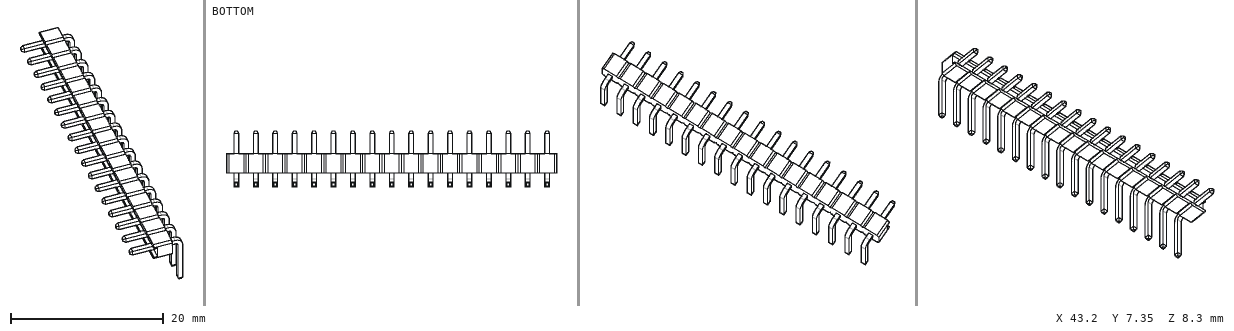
import cadquery as cq
import math

pin_count = 17
length = 43.2
overall_depth = 7.35
overall_height = 8.3
pitch = length / pin_count

housing_height = 2.55
housing_depth = 2.55
notch = 0.3
groove_height = 1.5
groove_depth = 0.47

pin_width = 0.65
pin_reach = 3.0
pin_back = overall_depth - pin_reach
tail_drop = overall_height - housing_height / 2
bend_outer_radius = 1.1
tip_length = 0.35
tip_inset = 0.15

half_pin = pin_width / 2
half_height = housing_height / 2


def repeat_along_row(body):
    """One copy of body at every pin position, joined together."""
    row = cq.Workplane("XY")
    for index in range(pin_count):
        pin_x = (index - (pin_count - 1) / 2) * pitch
        row = row.add(body.translate((pin_x, 0, 0)))
    return row.combine()


def make_housing():
    """Row of octagonal cells, grooved along the front."""
    half_cell = pitch / 2
    side_top = half_height - notch
    flat_half = half_cell - notch
    cell_outline = [
        (-half_cell, -side_top),
        (-flat_half, -half_height),
        (flat_half, -half_height),
        (half_cell, -side_top),
        (half_cell, side_top),
        (flat_half, half_height),
        (-flat_half, half_height),
        (-half_cell, side_top),
    ]
    cell = cq.Workplane("XZ").polyline(cell_outline).close().extrude(-housing_depth)
    cells = repeat_along_row(cell)
    groove = cq.Workplane("XY").box(length, groove_depth, groove_height, centered=(True, False, True))
    return cells.cut(groove)


def make_tip(origin, direction):
    """Four-sided taper that ends a pin, growing from origin along direction."""
    taper_angle = math.degrees(math.atan2(tip_inset, tip_length))
    base = cq.Plane(origin=origin, xDir=(1, 0, 0), normal=direction)
    return cq.Workplane(base).rect(pin_width, pin_width).extrude(tip_length, taper=taper_angle)


def make_pin():
    """Square pin bent down behind the housing, tapered at both ends."""
    path_radius = bend_outer_radius - half_pin
    tail_y = pin_back - half_pin
    front_y = tip_length - pin_reach
    tail_z = tip_length - tail_drop
    path = (
        cq.Workplane("YZ")
        .moveTo(front_y, 0)
        .lineTo(tail_y - path_radius, 0)
        .radiusArc((tail_y, -path_radius), path_radius)
        .lineTo(tail_y, tail_z)
    )
    shank = cq.Workplane("XZ", origin=(0, front_y, 0)).rect(pin_width, pin_width).sweep(path)
    front_tip = make_tip((0, front_y, 0), (0, -1, 0))
    tail_tip = make_tip((0, tail_y, tail_z), (0, 0, -1))
    return shank.union(front_tip).union(tail_tip)


result = make_housing().union(repeat_along_row(make_pin()))